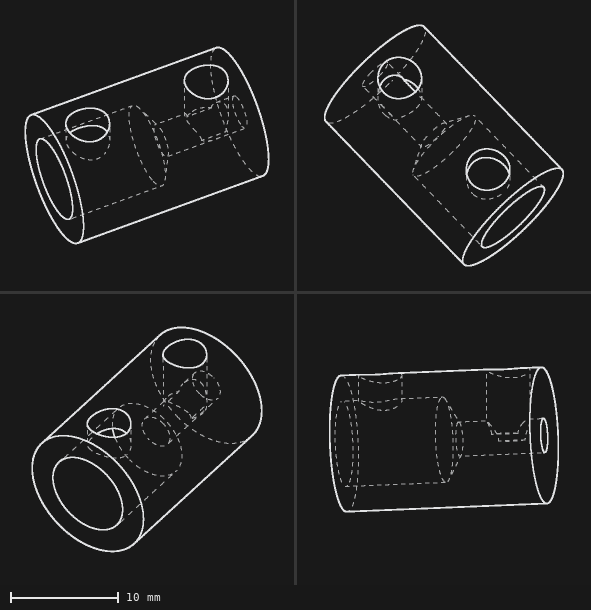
import cadquery as cq
import math

length = 19.05
outer_diameter = 12.7
large_bore_diameter = 7.95
small_bore_diameter = 3.18
large_bore_depth = 9.52
drill_point_angle = 118.0
screw_hole_diameter = 4.05
screw_hole_inset = 3.43

outer_radius = outer_diameter / 2
large_bore_radius = large_bore_diameter / 2
small_bore_radius = small_bore_diameter / 2
front_y = -length / 2
back_y = length / 2
cone_start_y = front_y + large_bore_depth
half_point_angle = math.radians(drill_point_angle / 2)
cone_length = (large_bore_radius - small_bore_radius) / math.tan(half_point_angle)


def make_sleeve():
    """Revolve the wall section, including the stepped bore, about Y."""
    section = (
        cq.Workplane("XY")
        .moveTo(large_bore_radius, front_y)
        .lineTo(outer_radius, front_y)
        .lineTo(outer_radius, back_y)
        .lineTo(small_bore_radius, back_y)
        .lineTo(small_bore_radius, cone_start_y + cone_length)
        .lineTo(large_bore_radius, cone_start_y)
        .close()
    )
    return section.revolve(360, (0, 0, 0), (0, 1, 0))


def make_screw_holes():
    """Radial holes from the axis up through the +Z wall, one near each end."""
    hole_offset = length / 2 - screw_hole_inset
    return (
        cq.Workplane("XY")
        .pushPoints([(0, -hole_offset), (0, hole_offset)])
        .circle(screw_hole_diameter / 2)
        .extrude(outer_radius)
    )


result = make_sleeve().cut(make_screw_holes())